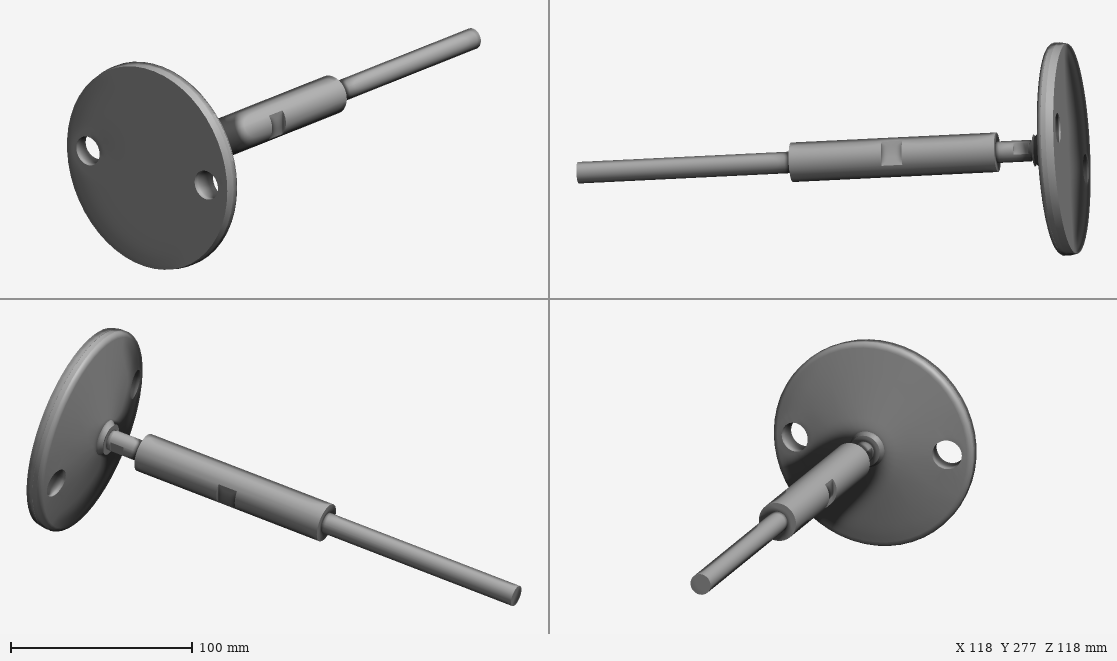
import cadquery as cq
import math

TOTAL_LENGTH = 277.0

PLATE_RADIUS = 118.0 / 2
SOLE_TAPER = 0.8
GROOVE_BOTTOM = 4.2
GROOVE_TOP = 7.0
GROOVE_DEPTH = 0.15
SHOULDER_RADIUS = 3.5
SHOULDER_START_ANGLE = 15.0
HUB_RADIUS = 10.2
HUB_HEIGHT = 17.5
NECK_RADIUS = 7.8
NECK_HEIGHT = 20.2
LIP_RADIUS = 9.0
LIP_HEIGHT = 21.0
CONE_ANGLE = 10.0

HOLE_DIAMETER = 16.5
HOLE_OFFSET = 43.0
HOLE_OVERSHOOT = 13.8
HOLE_LENGTH = 41.5

ROD_DIAMETER = 12.0
SPINDLE_NECK_RADIUS = 5.5
SPINDLE_NECK_TOP = 22.7
SPINDLE_SEAT = HUB_HEIGHT
SPINDLE_FLAT_START = 23.5
SPINDLE_FLAT_END = 31.9
SPINDLE_FLAT_WIDTH = 10.0

SLEEVE_DIAMETER = 22.0
SLEEVE_START = 41.8
SLEEVE_END = 157.0
SLEEVE_FLAT_START = 93.5
SLEEVE_FLAT_LENGTH = 11.5
SLEEVE_FLAT_WIDTH = 17.0


def cylinder(diameter, start, end):
    """Cylinder on the Y axis between two Y positions."""
    return cq.Workplane("XZ", origin=(0, start, 0)).circle(diameter / 2).extrude(start - end)


def cut_flats(body, diameter, width, start, end):
    """Cut a pair of wrench flats facing -X and +X."""
    depth = (diameter - width) / 2
    for side in (-1, 1):
        cutter = cq.Workplane("XY").box(depth, end - start, diameter)
        body = body.cut(cutter.translate((side * (width + depth) / 2, (start + end) / 2, 0)))
    return body


def make_foot():
    slope = math.radians(CONE_ANGLE)
    arc_start = math.radians(SHOULDER_START_ANGLE)
    arc_end = math.pi / 2 - slope
    arc_center_radius = PLATE_RADIUS - SHOULDER_RADIUS * math.cos(arc_start)
    arc_center_height = GROOVE_TOP - SHOULDER_RADIUS * math.sin(arc_start)

    def shoulder_point(angle):
        return (arc_center_radius + SHOULDER_RADIUS * math.cos(angle),
                arc_center_height + SHOULDER_RADIUS * math.sin(angle))

    groove_radius = PLATE_RADIUS - GROOVE_DEPTH
    foot = (
        cq.Workplane("XY")
        .lineTo(PLATE_RADIUS - SOLE_TAPER, 0)
        .lineTo(PLATE_RADIUS, GROOVE_BOTTOM)
        .lineTo(groove_radius, GROOVE_BOTTOM)
        .lineTo(groove_radius, GROOVE_TOP)
        .lineTo(PLATE_RADIUS, GROOVE_TOP)
        .threePointArc(shoulder_point((arc_start + arc_end) / 2), shoulder_point(arc_end))
        .lineTo(HUB_RADIUS, HUB_HEIGHT)
        .lineTo(NECK_RADIUS, NECK_HEIGHT)
        .lineTo(LIP_RADIUS, LIP_HEIGHT)
        .lineTo(0, LIP_HEIGHT)
        .close()
        .revolve(360, (0, 0, 0), (0, 1, 0))
    )
    foot = foot.cut(cylinder(2 * SPINDLE_NECK_RADIUS, SPINDLE_SEAT, LIP_HEIGHT))
    for side in (-1, 1):
        axis = cq.Vector(side * math.sin(slope), math.cos(slope), 0)
        start = cq.Vector(side * HOLE_OFFSET, 0, 0) - axis * HOLE_OVERSHOOT
        foot = foot.cut(cq.Workplane(cq.Solid.makeCylinder(HOLE_DIAMETER / 2, HOLE_LENGTH, start, axis)))
    return foot


def make_spindle():
    rod = cylinder(ROD_DIAMETER, SPINDLE_NECK_TOP, TOTAL_LENGTH)
    neck = cylinder(2 * SPINDLE_NECK_RADIUS, SPINDLE_SEAT, SPINDLE_NECK_TOP)
    return cut_flats(rod.union(neck), ROD_DIAMETER, SPINDLE_FLAT_WIDTH, SPINDLE_FLAT_START, SPINDLE_FLAT_END)


def make_sleeve():
    sleeve = cylinder(SLEEVE_DIAMETER, SLEEVE_START, SLEEVE_END)
    sleeve = sleeve.cut(cylinder(ROD_DIAMETER, SLEEVE_START, SLEEVE_END))
    return cut_flats(
        sleeve, SLEEVE_DIAMETER, SLEEVE_FLAT_WIDTH,
        SLEEVE_FLAT_START, SLEEVE_FLAT_START + SLEEVE_FLAT_LENGTH,
    )


foot = make_foot()
spindle = make_spindle()
sleeve = make_sleeve()

result = cq.Compound.makeCompound([foot.val(), spindle.val(), sleeve.val()])